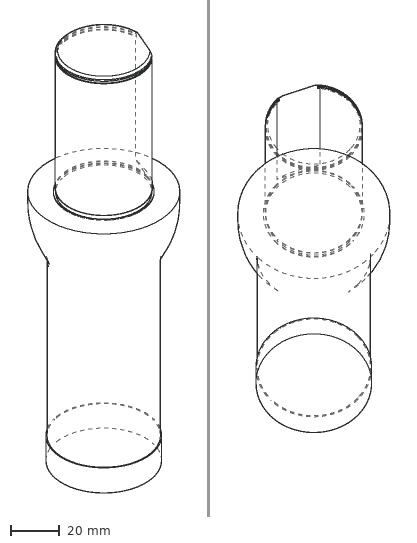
import cadquery as cq

total_height = 205.0
shank_length = 70.0
collar_rim_height = 5.1
blend_height = 29.0
cap_height = 14.0
cap_wall_bottom = 1.5
collar_top = total_height - shank_length
blend_top = collar_top - collar_rim_height
blend_bottom = blend_top - blend_height

collar_radius = 62.5 / 2
stem_radius = 46.5 / 2
cap_radius = 47.5 / 2
cap_flat_radius = 9.2
shank_radius = 40.0 / 2
neck_radius = 39.5 / 2

concave_share = 0.22

chamfer_width = 1.0
groove_top_offset = 1.8
groove_width = 1.2
groove_radius = 39.0 / 2

neck_height = 1.5
relief_radius = 41.5 / 2
relief_depth = 0.5

flat_offset = 17.6
flat_bottom = collar_top + 5.5


def add_blend(profile):
    """Add one smooth curve from the collar rim to the stem, vertical at both ends."""
    radius_drop = collar_radius - stem_radius
    inflection = (
        stem_radius + concave_share * radius_drop,
        blend_bottom + concave_share * blend_height,
    )
    down = (0, -1)
    flare_slope = (-2 * radius_drop, -blend_height)
    return profile.spline(
        [inflection, (stem_radius, blend_bottom)],
        tangents=[down, flare_slope, down],
        includeCurrent=True,
    )


def make_turned_holder():
    """Revolve the shank, collar and stem about Z."""
    groove_top = total_height - groove_top_offset
    groove_bottom = groove_top - groove_width
    neck_top = collar_top + neck_height
    relief_floor = collar_top - relief_depth
    profile = (
        cq.Workplane("XZ")
        .moveTo(0, total_height)
        .lineTo(shank_radius - chamfer_width, total_height)
        .lineTo(shank_radius, total_height - chamfer_width)
        .lineTo(shank_radius, groove_top)
        .lineTo(groove_radius, groove_top)
        .lineTo(groove_radius, groove_bottom)
        .lineTo(shank_radius, groove_bottom)
        .lineTo(shank_radius, neck_top)
        .lineTo(neck_radius, neck_top)
        .lineTo(neck_radius, relief_floor)
        .lineTo(relief_radius, relief_floor)
        .lineTo(relief_radius, collar_top)
        .lineTo(collar_radius, collar_top)
        .lineTo(collar_radius, blend_top)
    )
    profile = add_blend(profile).lineTo(stem_radius, cap_height).lineTo(0, cap_height).close()
    return profile.revolve(360, (0, 0, 0), (0, 1, 0))


def make_flat_cutter():
    """Prism that removes the shank flat and its sloping run-out."""
    run_out = shank_radius - flat_offset
    return (
        cq.Workplane("YZ")
        .moveTo(flat_offset, total_height)
        .lineTo(flat_offset, flat_bottom)
        .lineTo(shank_radius, flat_bottom - run_out)
        .lineTo(shank_radius, total_height)
        .close()
        .extrude(shank_radius, both=True)
    )


def make_holder():
    return make_turned_holder().cut(make_flat_cutter())


def make_end_cap():
    """Cap below the stem, with a shallow conical underside around a flat centre."""
    return (
        cq.Workplane("XZ")
        .moveTo(0, cap_height)
        .lineTo(cap_radius, cap_height)
        .lineTo(cap_radius, cap_wall_bottom)
        .lineTo(cap_flat_radius, 0)
        .lineTo(0, 0)
        .close()
        .revolve(360, (0, 0, 0), (0, 1, 0))
    )


holder = make_holder()
end_cap = make_end_cap()

result = cq.Compound.makeCompound([holder.val(), end_cap.val()])